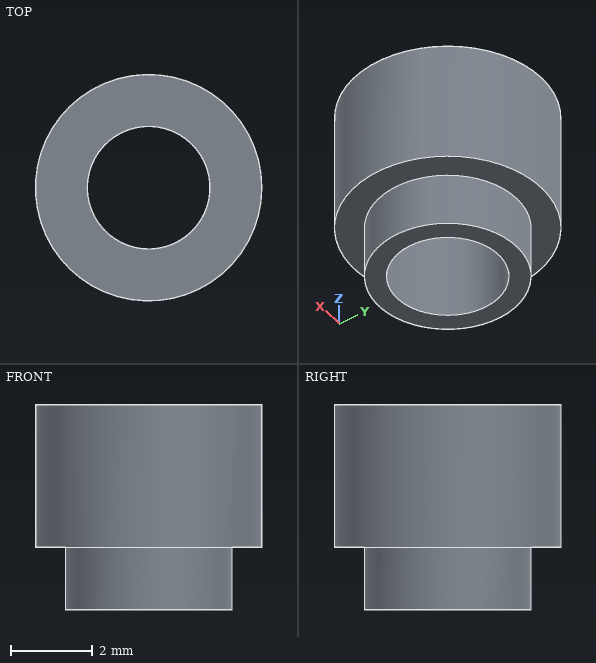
import cadquery as cq

head_diameter = 5.56
spigot_diameter = 4.09
bore_diameter = 3.0
total_height = 5.03
spigot_height = 1.53
head_height = total_height - spigot_height

spigot = cq.Workplane("XY").circle(spigot_diameter / 2).extrude(spigot_height)

stepped_body = spigot.faces(">Z").workplane().circle(head_diameter / 2).extrude(head_height)

result = stepped_body.faces(">Z").workplane().hole(bore_diameter)